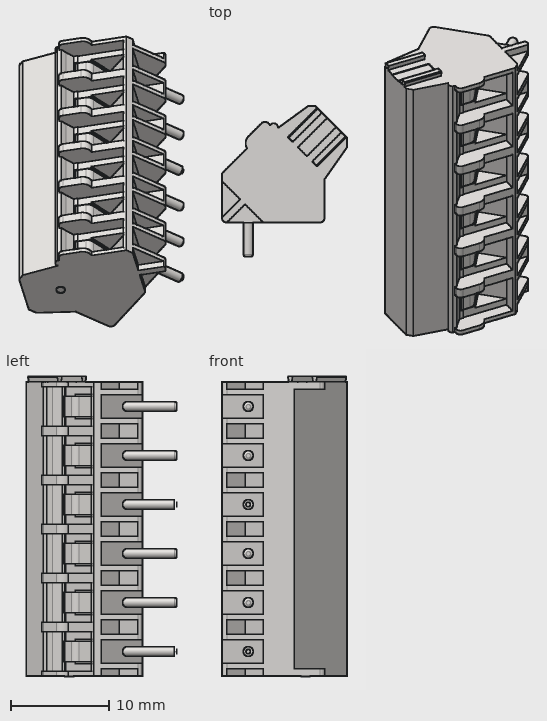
import cadquery as cq
import math


POLES = 6
PITCH = 5.0
HEIGHT = POLES * PITCH

BASE_WIDTH = 10.5
BODY_DEPTH = 11.9
BODY_REACH_X = 12.8
HEAD_FRONT_Y = 7.7
FOOT_ROUND = 0.5
HEAD_BACK_X = 8.8
SHOULDER_VALLEY = (5.74, 9.67)
SHOULDER_CREST = (5.47, 10.11)
HEAD_END = 21.45
ENTRY_OFFSET = 5.0
ENTRY_TOP = 15.25

END_PLATE = 0.72
RELIEF_X = 7.4

EAR_THICKNESS = 1.0
EAR_HEIGHT = 1.09
EAR_START = 11.52
EAR_END = 14.2
EAR_START_RADIUS = 1.0
EAR_END_RADIUS = 0.5
EAR_ROOT_OVERLAP = 1.0

WINDOW_HEIGHT = 4.0
WINDOW_START = 5.45
WINDOW_TOP_Y = 9.8
WINDOW_BEND_Y = 9.2
WINDOW_FOOT_Y = 8.2
WINDOW_STEP_Y = 7.93
STRIP_OFFSET = 3.28
FLOOR_OFFSET = 3.16
FAR_WALL_TILT = math.radians(4)
UNDERCUT_TILT = math.radians(10)

GUIDE_HEIGHT = 2.1
GUIDE_OFFSET = 3.1
GUIDE_START_Y = 8.1
GUIDE_ARC_TOP_Y = 7.28
GUIDE_ARC_END_Y = 6.5
GUIDE_SLOT_HEIGHT = 2.5
GUIDE_SLOT_Y = 6.87

CELL_DIAGONAL = 4.25
PIN_CELL_HEIGHT = 2.36
RIB_CELL_HEIGHT = 1.52
RIB_HALF_OFFSET = 0.5

PIN_DIAMETER = 1.0
PIN_X = 2.7
PIN_TIP_Y = -3.5
PIN_ROOT_Y = 2.2
PIN_TIP_ROUND = 0.27

RAIL_START = 15.46
RAIL_HEIGHT = 0.6
RAIL_TOP_WIDTH = 0.7
RAIL_ROOT_WIDTH = 0.42
RAIL_EDGE_CHAMFER = 0.1
RAIL_SPACING = 3.52
RAIL_LENGTH = (HEAD_END - RAIL_START) / math.sqrt(2)
HEAD_AXIS_OFFSET = -1.0
RECESS_WIDTH = 1.3
RECESS_DEPTH = 0.08

BUMP_DIAMETER = 0.9
BUMP_HEIGHT = 0.08
BUMP_X = 8.55
BUMP_Y = 7.5

POLE_CENTRES = [PITCH * (pole + 0.5) for pole in range(POLES)]
POLE_BOUNDARIES = [PITCH * pole for pole in range(POLES + 1)]


def diagonal_point(reach, offset):
    """Point with x + y = reach and y - x = offset."""
    return (reach - offset) / 2, (reach + offset) / 2


def on_offset(y, offset):
    """Point with the given y on the 45 degree line y - x = offset."""
    return y - offset, y


def centred_prism(outline, z_centre, height):
    """Closed XY outline extruded symmetrically about z_centre."""
    return outline.extrude(height / 2, both=True).translate((0, 0, z_centre))


def within_block(solid):
    """Trim a solid to the height of the block."""
    slab_size = 4 * BODY_REACH_X
    slab = cq.Workplane("XY").box(slab_size, slab_size, HEIGHT, centered=(True, True, False))
    return solid.intersect(slab)


def make_body():
    """Plain profile of the block over its full height."""
    neck_y = HEAD_FRONT_Y * (BASE_WIDTH - RELIEF_X) / (BODY_REACH_X - RELIEF_X)
    body = (
        cq.Workplane("XY")
        .lineTo(BASE_WIDTH, 0)
        .lineTo(BASE_WIDTH, neck_y)
        .lineTo(BODY_REACH_X, HEAD_FRONT_Y)
        .lineTo(BODY_REACH_X, HEAD_END - BODY_REACH_X)
        .lineTo(HEAD_END - BODY_DEPTH, BODY_DEPTH)
        .lineTo(HEAD_BACK_X, BODY_DEPTH)
        .lineTo(*SHOULDER_VALLEY)
        .threePointArc(SHOULDER_CREST, diagonal_point(ENTRY_TOP, ENTRY_OFFSET))
        .lineTo(0, ENTRY_OFFSET)
        .close()
        .extrude(HEIGHT)
    )
    foot_corners = body.faces("<Y").edges("|Z")
    return foot_corners.fillet(FOOT_ROUND)


def make_end_plate_relief():
    """Wedge in front of the head's slanted underside, which runs straight to the front face."""
    outline = (
        cq.Workplane("XY")
        .moveTo(RELIEF_X, 0)
        .lineTo(BODY_REACH_X, 0)
        .lineTo(BODY_REACH_X, HEAD_FRONT_Y)
        .close()
    )
    return centred_prism(outline, HEIGHT / 2, HEIGHT - 2 * END_PLATE)


def make_ears():
    """Flat-topped ears with rounded ends, standing on the entry face at each pole boundary."""
    flat_offset = ENTRY_OFFSET + EAR_HEIGHT
    perpendicular_height = EAR_HEIGHT / math.sqrt(2)
    root_offset = ENTRY_OFFSET - EAR_ROOT_OVERLAP

    def arc_point(tangent_reach, radius, drop, direction):
        """Point on an end arc, a given perpendicular drop below the flat."""
        run = direction * math.sqrt(radius ** 2 - (radius - drop) ** 2)
        return diagonal_point(tangent_reach + run * math.sqrt(2), flat_offset - drop * math.sqrt(2))

    mid_drop = perpendicular_height / 4
    start_foot = arc_point(EAR_START, EAR_START_RADIUS, perpendicular_height, -1)
    end_foot = arc_point(EAR_END, EAR_END_RADIUS, EAR_END_RADIUS, 1)
    ears = cq.Workplane("XY")
    for boundary in POLE_BOUNDARIES:
        outline = (
            cq.Workplane("XY")
            .moveTo(*start_foot)
            .threePointArc(
                arc_point(EAR_START, EAR_START_RADIUS, mid_drop, -1),
                diagonal_point(EAR_START, flat_offset),
            )
            .lineTo(*diagonal_point(EAR_END, flat_offset))
            .threePointArc(arc_point(EAR_END, EAR_END_RADIUS, mid_drop, 1), end_foot)
            .lineTo(*diagonal_point(sum(end_foot), root_offset))
            .lineTo(*diagonal_point(sum(start_foot), root_offset))
            .close()
        )
        ears = ears.add(centred_prism(outline, boundary, EAR_THICKNESS))
    return within_block(ears.combine())


def make_window(z_centre):
    """Pocket in the entry face with a stepped floor and an undercut far wall."""
    top = on_offset(WINDOW_TOP_Y, ENTRY_OFFSET)
    bend_x = top[0] + (WINDOW_TOP_Y - WINDOW_BEND_Y) * math.tan(UNDERCUT_TILT)
    foot_x = bend_x + (WINDOW_BEND_Y - WINDOW_FOOT_Y) * math.tan(FAR_WALL_TILT)
    step = on_offset(WINDOW_STEP_Y, STRIP_OFFSET)
    outline = (
        cq.Workplane("XY")
        .moveTo(*diagonal_point(WINDOW_START, ENTRY_OFFSET))
        .lineTo(*top)
        .lineTo(bend_x, WINDOW_BEND_Y)
        .lineTo(foot_x, WINDOW_FOOT_Y)
        .lineTo(*step)
        .lineTo(*diagonal_point(sum(step), FLOOR_OFFSET))
        .lineTo(*diagonal_point(WINDOW_START, FLOOR_OFFSET))
        .close()
    )
    return centred_prism(outline, z_centre, WINDOW_HEIGHT)


def make_wire_guide(z_centre):
    """Rounded lead-in and the slightly taller slot behind it."""
    near_corner = diagonal_point(WINDOW_START, FLOOR_OFFSET)
    near_y = near_corner[1]

    arc_top = on_offset(GUIDE_ARC_TOP_Y, GUIDE_OFFSET)
    turn_start = math.radians(45)
    arc_drop = GUIDE_ARC_TOP_Y - GUIDE_ARC_END_Y
    radius = arc_drop / (math.sin(turn_start) + math.sin(UNDERCUT_TILT))
    centre_x = arc_top[0] + radius * math.cos(turn_start)
    centre_y = arc_top[1] - radius * math.sin(turn_start)
    arc_mid = (centre_x - radius, centre_y)
    arc_end_x = centre_x - radius * math.cos(UNDERCUT_TILT)
    face_end_x = arc_end_x + (GUIDE_ARC_END_Y - near_y) * math.tan(UNDERCUT_TILT)
    lead_in = (
        cq.Workplane("XY")
        .moveTo(*near_corner)
        .lineTo(*on_offset(GUIDE_START_Y, STRIP_OFFSET))
        .lineTo(*on_offset(GUIDE_START_Y, GUIDE_OFFSET))
        .lineTo(*arc_top)
        .threePointArc(arc_mid, (arc_end_x, GUIDE_ARC_END_Y))
        .lineTo(face_end_x, near_y)
        .close()
    )

    slot_top = on_offset(GUIDE_SLOT_Y, FLOOR_OFFSET)
    slot_end_x = slot_top[0] + (GUIDE_SLOT_Y - near_y) * math.tan(UNDERCUT_TILT)
    slot = (
        cq.Workplane("XY")
        .moveTo(*near_corner)
        .lineTo(*slot_top)
        .lineTo(slot_end_x, near_y)
        .close()
    )
    guide = centred_prism(lead_in, z_centre, GUIDE_HEIGHT)
    return guide.union(centred_prism(slot, z_centre, GUIDE_SLOT_HEIGHT))


def make_pin_cell(z_centre):
    """Open triangular cell across the corner, clearing the root of a pin."""
    outline = cq.Workplane("XY").polyline([(0, 0), (CELL_DIAGONAL, 0), (0, CELL_DIAGONAL)]).close()
    return centred_prism(outline, z_centre, PIN_CELL_HEIGHT)


def make_rib_cells(z_centre):
    """Pair of triangular cells that leave a thin rib along the corner diagonal."""
    inner_x, inner_y = diagonal_point(CELL_DIAGONAL, -RIB_HALF_OFFSET)
    front_points = [(RIB_HALF_OFFSET, 0), (CELL_DIAGONAL, 0), (inner_x, inner_y)]
    side_points = [(y, x) for x, y in front_points]
    front = cq.Workplane("XY").polyline(front_points).close()
    side = cq.Workplane("XY").polyline(side_points).close()
    front_cell = centred_prism(front, z_centre, RIB_CELL_HEIGHT)
    return front_cell.add(centred_prism(side, z_centre, RIB_CELL_HEIGHT)).combine()


def make_pin(z_centre):
    """Round pin along Y with a rounded tip, sunk into the cell floor."""
    pin_plane = cq.Plane((PIN_X, PIN_TIP_Y, z_centre), xDir=(-1, 0, 0), normal=(0, 1, 0))
    pin = cq.Workplane(pin_plane).circle(PIN_DIAMETER / 2).extrude(PIN_ROOT_Y - PIN_TIP_Y)
    return pin.faces("<Y").fillet(PIN_TIP_ROUND)


def head_plane(lateral):
    """Plane across the head axis at the rail start; local x is lateral, local y is Z."""
    x, y = diagonal_point(RAIL_START, HEAD_AXIS_OFFSET - lateral * math.sqrt(2))
    return cq.Plane((x, y, HEIGHT), xDir=(1, -1, 0), normal=(-1, -1, 0))


def make_rail(side):
    """Dovetail rail along the head axis, with its outer top edge broken."""
    half_top = RAIL_TOP_WIDTH / 2
    half_root = RAIL_ROOT_WIDTH / 2
    points = [
        (-side * half_root, 0),
        (side * half_root, 0),
        (side * half_top, RAIL_HEIGHT - RAIL_EDGE_CHAMFER),
        (side * (half_top - RAIL_EDGE_CHAMFER), RAIL_HEIGHT),
        (-side * half_top, RAIL_HEIGHT),
    ]
    plane = head_plane(side * RAIL_SPACING / 2)
    return cq.Workplane(plane).polyline(points).close().extrude(-RAIL_LENGTH)


def make_recess():
    return cq.Workplane(head_plane(0)).rect(RECESS_WIDTH, 2 * RECESS_DEPTH).extrude(-RAIL_LENGTH)


def make_bump():
    return cq.Workplane("XY").center(BUMP_X, BUMP_Y).circle(BUMP_DIAMETER / 2).extrude(-BUMP_HEIGHT)


result = make_body().cut(make_end_plate_relief()).union(make_ears())
for centre in POLE_CENTRES:
    result = result.cut(make_window(centre)).cut(make_wire_guide(centre))
    result = result.cut(make_pin_cell(centre)).union(make_pin(centre))
for boundary in POLE_BOUNDARIES:
    result = result.cut(make_rib_cells(boundary))
for rail_side in (-1, 1):
    result = result.union(make_rail(rail_side))
result = result.cut(make_recess()).union(make_bump())